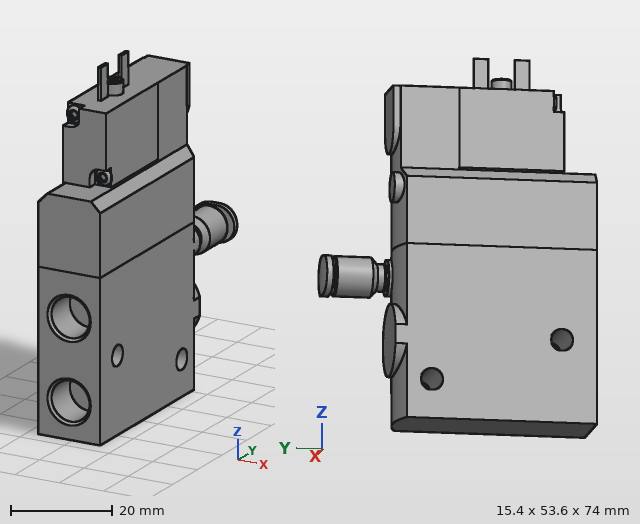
import cadquery as cq
import math


body_width = 14.0
edge_depth = 38.1
crown_depth = 39.75
boss_plane = 40.4
boss_root = 33.3
split_height = 35.0

port_diameter = 8.6
port_mouth_diameter = 9.8
port_chamfer = (port_mouth_diameter - port_diameter) / 2
port_depth = 8.0
port_heights = (7.9, 25.4)
mount_hole_diameter = 4.4
mount_holes = ((7.0, 16.65), (33.1, 7.85))
cap_diameter = 14.5
cap_height = 16.7
seat_diameter = 7.25

shoulder_height = 50.6
shoulder_drop = 2.1
coil_base_width = 9.85
coil_width = 9.8
coil_front = 6.2
coil_back = 27.2
coil_bottom = 51.05
head_top = 67.1
pad_width = 9.4
pad_arc_height = 59.0
button_diameter = 6.0
button_x = -3.25
button_height = 46.9

screw_pocket_depth = 2.1
screw_pocket_radius = 2.1
screw_head_diameter = 3.6
screw_head_height = 0.7
screw_side_inset = 1.6
screw_top_inset = 2.15
screw_bottom_inset = 1.9

socket_mouth_diameter = 2.0
socket_diameter = 1.55
socket_depth = 0.6
socket_chamfer = (socket_mouth_diameter - socket_diameter) / 2

contact_top = 74.0
contact_width = 2.9
contact_thickness = 0.6
contact_pitch = 8.3
post_y = 17.9
post_diameter = 4.0
post_top = 69.85
post_chamfer = 0.3

fitting_x = 3.5
fitting_height = 30.0
fitting_stub_diameter = 5.0
fitting_neck_diameter = 5.5
fitting_barrel_diameter = 8.0
fitting_throat_diameter = 4.4
fitting_collar_diameter = 4.5
fitting_neck_start = 40.85
fitting_cone_start = 42.5
fitting_barrel_start = 43.65
fitting_barrel_end = 51.0
fitting_edge_chamfer = 0.2
fitting_collar_start = 51.6
ring_start = 51.8
ring_edge = 53.05
ring_end = 53.6
ring_length = 9.85
ring_height = 7.8
ring_end_diameter = 4.4


def block(x_size, y_start, y_end, z_start, z_end):
    """Box centred on X that spans the given Y and Z ranges."""
    return (
        cq.Workplane("XY")
        .box(x_size, y_end - y_start, z_end - z_start, centered=(True, False, False))
        .translate((0, y_start, z_start))
    )


def rod(x, z, diameter, y_start, y_end):
    """Cylinder along +Y."""
    return (
        cq.Workplane("XZ", origin=(x, y_start, z))
        .circle(diameter / 2)
        .extrude(y_start - y_end)
    )


def valve_prism(z_start, z_end):
    """Upright valve section: flat front and sides, shallow arc at the back."""
    half = body_width / 2
    return (
        cq.Workplane("XY", origin=(0, 0, z_start))
        .moveTo(-half, 0)
        .lineTo(half, 0)
        .lineTo(half, edge_depth)
        .threePointArc((0, crown_depth), (-half, edge_depth))
        .close()
        .extrude(z_end - z_start)
    )


def socket_cutter():
    """Countersunk blind socket opening upward, with its mouth at the origin."""
    return (
        cq.Workplane("XZ")
        .moveTo(0, 0)
        .lineTo(socket_mouth_diameter / 2, 0)
        .lineTo(socket_diameter / 2, -socket_chamfer)
        .lineTo(socket_diameter / 2, -socket_depth)
        .lineTo(0, -socket_depth)
        .close()
        .revolve(360, (0, 0), (0, 1))
    )


def port_cutter(z):
    """Blind front port with a chamfered mouth."""
    return (
        cq.Workplane("XY")
        .moveTo(0, 0)
        .lineTo(port_mouth_diameter / 2, 0)
        .lineTo(port_diameter / 2, port_chamfer)
        .lineTo(port_diameter / 2, port_depth)
        .lineTo(0, port_depth)
        .close()
        .revolve(360, (0, 0), (0, 1))
        .translate((0, 0, z))
    )


def make_housing():
    housing = valve_prism(0, split_height)

    width_limit = block(body_width, 0, boss_plane, 0, split_height)
    cap = rod(0, cap_height, cap_diameter, boss_root, boss_plane).intersect(width_limit)
    seat = rod(fitting_x, fitting_height, seat_diameter, boss_root, boss_plane).intersect(width_limit)
    housing = housing.union(cap).union(seat)

    for z in port_heights:
        housing = housing.cut(port_cutter(z))

    holes = (
        cq.Workplane("YZ")
        .pushPoints(mount_holes)
        .circle(mount_hole_diameter / 2)
        .extrude(body_width, both=True)
    )
    return housing.cut(holes)


def head_section():
    """Cross-section of the head along Y: cover, sloping shoulders, narrow coil base."""
    half = body_width / 2
    base_half = coil_base_width / 2
    right_side = [
        (half, split_height),
        (half, shoulder_height - shoulder_drop),
        (base_half, shoulder_height),
        (base_half, head_top),
    ]
    left_side = [(-x, z) for x, z in reversed(right_side)]
    return cq.Workplane("XZ").polyline(right_side + left_side).close().extrude(-boss_plane)


def screw_pocket(side, z, end_z):
    """Corner pocket around a screw axis, open to one coil side and to the level end_z."""
    x = side * (coil_width / 2 - screw_side_inset)
    pocket_floor = coil_front + screw_pocket_depth
    side_x = side * coil_base_width / 2
    level = -1 if end_z < z else 1
    inner_x = x - side * screw_pocket_radius
    inner_z = z - level * screw_pocket_radius
    diagonal = screw_pocket_radius * math.sqrt(0.5)
    return (
        cq.Workplane("XZ", origin=(0, coil_front, 0))
        .moveTo(side_x, end_z)
        .lineTo(inner_x, end_z)
        .lineTo(inner_x, z)
        .threePointArc((x - side * diagonal, z - level * diagonal), (x, inner_z))
        .lineTo(side_x, inner_z)
        .close()
        .extrude(coil_front - pocket_floor)
    )


def screw_head(side, z):
    """Domed screw head standing on the pocket floor and facing the front."""
    mouth_radius = socket_mouth_diameter / 2
    head_radius = screw_head_diameter / 2
    bulge = ((mouth_radius + 2 * head_radius) / 3, 2 * screw_head_height / 3)
    head = (
        cq.Workplane("XZ")
        .moveTo(0, 0)
        .lineTo(head_radius, 0)
        .threePointArc(bulge, (mouth_radius, screw_head_height))
        .lineTo(0, screw_head_height)
        .close()
        .revolve(360, (0, 0), (0, 1))
        .cut(socket_cutter().translate((0, 0, screw_head_height)))
    )
    x = side * (coil_width / 2 - screw_side_inset)
    return head.rotate((0, 0, 0), (1, 0, 0), 90).translate((x, coil_front + screw_pocket_depth, z))


def make_post():
    """Socketed post between the contacts."""
    return (
        cq.Workplane("XY", origin=(0, post_y, head_top))
        .circle(post_diameter / 2)
        .extrude(post_top - head_top)
        .faces(">Z")
        .chamfer(post_chamfer)
        .cut(socket_cutter().translate((0, post_y, post_top)))
    )


def make_pilot_head():
    head = valve_prism(split_height, head_top).intersect(head_section())
    head = head.cut(block(body_width, 0, coil_back, shoulder_height, head_top))

    head = head.union(block(coil_width, coil_front, coil_back, coil_bottom, head_top))

    pad_block = block(pad_width, boss_root, boss_plane, pad_arc_height, head_top)
    pad_end = rod(0, pad_arc_height, pad_width, boss_root, boss_plane)
    button = rod(button_x, button_height, button_diameter, boss_root, boss_plane)
    head = head.union(pad_block).union(pad_end).union(button)

    top_screw_z = head_top - screw_top_inset
    bottom_screw_z = coil_bottom + screw_bottom_inset
    for side, z, end_z in ((-1, top_screw_z, head_top), (1, bottom_screw_z, coil_bottom)):
        head = head.cut(screw_pocket(side, z, end_z))
        head = head.union(screw_head(side, z))

    for offset in (-contact_pitch / 2, contact_pitch / 2):
        start = post_y + offset - contact_width / 2
        head = head.union(block(contact_thickness, start, start + contact_width, head_top, contact_top))
    return head.union(make_post())


def make_fitting():
    """Push-in fitting standing on the seat, with an oval release ring at its outer end."""
    body_steps = [
        (0, boss_plane),
        (fitting_stub_diameter / 2, boss_plane),
        (fitting_stub_diameter / 2, fitting_neck_start),
        (fitting_neck_diameter / 2, fitting_neck_start + fitting_edge_chamfer),
        (fitting_neck_diameter / 2, fitting_cone_start),
        (fitting_barrel_diameter / 2, fitting_barrel_start),
        (fitting_barrel_diameter / 2, fitting_barrel_end - fitting_edge_chamfer),
        (fitting_barrel_diameter / 2 - fitting_edge_chamfer, fitting_barrel_end),
        (fitting_throat_diameter / 2, fitting_barrel_end),
        (fitting_throat_diameter / 2, fitting_collar_start),
        (fitting_collar_diameter / 2, fitting_collar_start),
        (fitting_collar_diameter / 2, ring_start),
        (0, ring_start),
    ]
    body = cq.Workplane("XY").polyline(body_steps).close().revolve(360, (0, 0), (0, 1))

    cone_steps = [
        (0, ring_start),
        (ring_length / 2, ring_start),
        (ring_length / 2, ring_edge),
        (ring_end_diameter / 2, ring_end),
        (0, ring_end),
    ]
    cone = cq.Workplane("XY").polyline(cone_steps).close().revolve(360, (0, 0), (0, 1))
    oval = (
        cq.Workplane("XZ", origin=(0, ring_start, 0))
        .slot2D(ring_length, ring_height)
        .extrude(ring_start - ring_end)
    )
    return body.union(cone.intersect(oval)).translate((fitting_x, 0, fitting_height))


housing = make_housing()
pilot_head = make_pilot_head()
fitting = make_fitting()

result = cq.Compound.makeCompound([housing.val(), pilot_head.val(), fitting.val()])